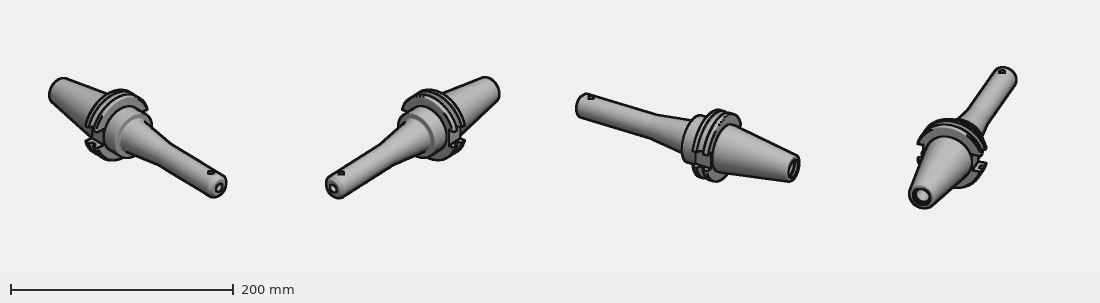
import cadquery as cq
import math

length = 220.6
gauge_x = 68.0
flange_x = 71.3
flange_end_x = 87.4
collar_end_x = 103.3
neck_end_x = 144.7

taper_small_dia = 24.7
collar_dia = 44.4
flange_dia = 63.3
neck_root_dia = 32.5
shank_dia = 22.3

taper_end_round = 1.8
flange_front_round = 0.9
flange_rear_round = 1.3
collar_round = 0.9
neck_root_fillet = 1.3
nose_chamfer = 3.0
nose_round = 1.8
nose_face_round = 0.9

groove_center_x = 79.5
groove_top_width = 6.5
groove_floor_width = 4.0
groove_floor_dia = 56.0
groove_fillet = 0.7

slot_width = 16.5
slot_floor_front = 22.3
slot_floor_back = 24.7

bore_mouth_dia = 16.8
pilot_dia = 16.3
pilot_depth = 3.0
thread_dia = 13.5
thread_depth = 35.3
bore_step_dia = 10.0
coolant_dia = 8.0

side_hole_dia = 5.3
side_hole_x = 209.5


def revolve_about_x(points):
    """Revolve a closed (x, radius) outline about the X axis."""
    outline = cq.Workplane("XY").polyline(points).close()
    return outline.revolve(360, (0, 0, 0), (1, 0, 0))


def round_circles(body, x, diameter, radius):
    """Round the circular edges lying at station x with the given diameter."""
    tol = 0.02
    half = diameter / 2 + tol
    box = cq.selectors.BoxSelector((x - tol, -half, -half), (x + tol, half, half), boundingbox=True)
    edges = body.edges(box).filter(lambda edge: abs(edge.radius() - diameter / 2) < tol)
    return body.newObject(edges.vals()).fillet(radius)


def make_taper_and_shank():
    body = revolve_about_x([
        (0, 0),
        (0, taper_small_dia / 2),
        (gauge_x, collar_dia / 2),
        (collar_end_x, collar_dia / 2),
        (collar_end_x, neck_root_dia / 2),
        (neck_end_x, shank_dia / 2),
        (length - nose_chamfer, shank_dia / 2),
        (length, shank_dia / 2 - nose_chamfer),
        (length, 0),
    ])
    body = round_circles(body, 0, taper_small_dia, taper_end_round)
    body = round_circles(body, collar_end_x, collar_dia, collar_round)
    body = round_circles(body, collar_end_x, neck_root_dia, neck_root_fillet)
    body = round_circles(body, length - nose_chamfer, shank_dia, nose_round)
    return round_circles(body, length, shank_dia - 2 * nose_chamfer, nose_face_round)


def make_flange():
    outer = flange_dia / 2
    floor = groove_floor_dia / 2
    top_half = groove_top_width / 2
    floor_half = groove_floor_width / 2
    flange = revolve_about_x([
        (flange_x, 0),
        (flange_x, outer),
        (groove_center_x - top_half, outer),
        (groove_center_x - floor_half, floor),
        (groove_center_x + floor_half, floor),
        (groove_center_x + top_half, outer),
        (flange_end_x, outer),
        (flange_end_x, 0),
    ])
    flange = round_circles(flange, flange_x, flange_dia, flange_front_round)
    flange = round_circles(flange, flange_end_x, flange_dia, flange_rear_round)
    for x in (groove_center_x - floor_half, groove_center_x + floor_half):
        flange = round_circles(flange, x, groove_floor_dia, groove_fillet)

    slot_length = flange_end_x - flange_x
    slot_x = (flange_x + flange_end_x) / 2
    for side, slot_floor in ((-1, slot_floor_front), (1, slot_floor_back)):
        slot_depth = outer - slot_floor
        slot_y = side * (slot_floor + slot_depth / 2)
        slot = cq.Workplane("XY").box(slot_length, slot_depth, slot_width).translate((slot_x, slot_y, 0))
        flange = flange.cut(slot)
    return flange


def make_bore():
    drill_half_angle = math.radians(59)
    mouth_depth = pilot_depth / 2
    drill_end = thread_depth + (thread_dia - bore_step_dia) / 2 / math.tan(drill_half_angle)
    return revolve_about_x([
        (0, 0),
        (0, bore_mouth_dia / 2),
        (mouth_depth, pilot_dia / 2),
        (pilot_depth, pilot_dia / 2),
        (pilot_depth, thread_dia / 2),
        (thread_depth, thread_dia / 2),
        (drill_end, bore_step_dia / 2),
        (drill_end, coolant_dia / 2),
        (length, coolant_dia / 2),
        (length, 0),
    ])


def make_side_hole():
    return cq.Workplane("XY").center(side_hole_x, 0).circle(side_hole_dia / 2).extrude(shank_dia)


result = make_taper_and_shank().union(make_flange()).cut(make_bore()).cut(make_side_hole())